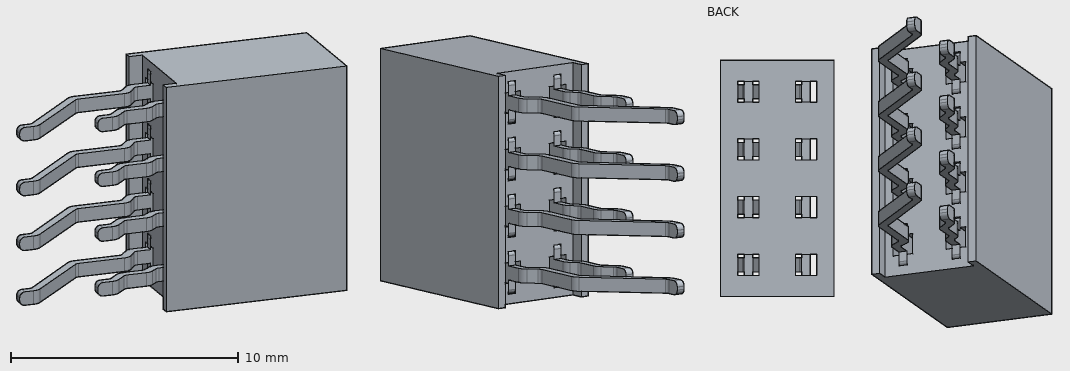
import cadquery as cq


overall_length = 15.4

width = 5.0
height = 10.41
body_depth = 7.88
wall_thickness = 0.38
wall_length = 0.62

pitch = 2.54
row_count = 4
row_heights = [(row - (row_count - 1) / 2) * pitch for row in range(row_count)]
long_column_x = (width - pitch) / 2
short_column_x = long_column_x + pitch

hole_size = 0.92
flag_height = 1.91
flag_depth = 0.92
flag_radius = 0.18

strip_thickness = 0.38
strip_height = 0.63
tip_radius = 0.25
inner_bend_radius = 0.23
outer_bend_radius = 0.5

tip_leg = (width - strip_thickness, width)
long_middle_leg = (1.68, 2.11)
short_middle_leg = (4.0, 4.39)

long_bends = [(0.95, 0.74), (1.48, 1.25), (3.9, 3.74), (6.82, 6.65)]
short_bends = [(0.83, 0.66), (1.3, 1.12), (2.5, 2.33), (3.1, 2.94)]
long_tip_reach = overall_length - body_depth
short_tip_reach = 3.83


def block(x_range, y_range, z_size, z_center=0):
    """Box over the given X and Y ranges, centred in Z on z_center."""
    (x_min, x_max), (y_min, y_max) = x_range, y_range
    return (
        cq.Workplane("XY", origin=(0, 0, z_center - z_size / 2))
        .moveTo(x_min, y_min)
        .lineTo(x_max, y_min)
        .lineTo(x_max, y_max)
        .lineTo(x_min, y_max)
        .close()
        .extrude(z_size)
    )


def root_leg(column_x):
    """Left and right faces of a strip centred on its column."""
    return (column_x - strip_thickness / 2, column_x + strip_thickness / 2)


def flag(column_x, z):
    """Square-edged envelope of a flag, starting flush with the housing face."""
    return block(root_leg(column_x), (0, flag_depth), flag_height, z)


def make_housing():
    """Block with two side walls, a through hole per pin and a slot for its flag."""
    housing = block((0, width), (-wall_length, body_depth), height)
    housing = housing.cut(block((wall_thickness, width - wall_thickness), (-wall_length, 0), height))
    for z in row_heights:
        for column_x in (long_column_x, short_column_x):
            hole_sides = (column_x - hole_size / 2, column_x + hole_size / 2)
            housing = housing.cut(block(hole_sides, (0, body_depth), hole_size, z))
            housing = housing.cut(flag(column_x, z))
    return housing


def make_pin(column_x, middle_leg, bends, tip_reach, z):
    """Strip with two sideways jogs, with a rounded tip and a taller flag at its root."""
    root = root_leg(column_x)
    corner_legs = [root, middle_leg, middle_leg, tip_leg]
    left_corners = [(leg[0], -bend[0]) for leg, bend in zip(corner_legs, bends)]
    right_corners = [(leg[1], -bend[1]) for leg, bend in zip(corner_legs, bends)]
    outline = [(root[0], 0), *left_corners, (tip_leg[0], -tip_reach)]
    outline += [(tip_leg[1], -tip_reach), *reversed(right_corners), (root[1], 0)]
    strip = (
        cq.Workplane("XY", origin=(0, 0, z - strip_height / 2))
        .polyline(outline)
        .close()
        .extrude(strip_height)
    )

    for index in range(len(bends)):
        outer, inner = left_corners[index], right_corners[index]
        if index % 2 == 1:
            outer, inner = inner, outer
        for (x, y), radius in ((outer, outer_bend_radius), (inner, inner_bend_radius)):
            edge = cq.selectors.NearestToPointSelector((x, y, z))
            strip = strip.edges("|Z").edges(edge).fillet(radius)

    strip = strip.faces("<Y").edges("|X").fillet(tip_radius)
    rounded_flag = flag(column_x, z).faces("<Y").edges("|X").fillet(flag_radius)
    return strip.union(rounded_flag)


housing = make_housing()
long_pins = [make_pin(long_column_x, long_middle_leg, long_bends, long_tip_reach, z) for z in row_heights]
short_pins = [make_pin(short_column_x, short_middle_leg, short_bends, short_tip_reach, z) for z in row_heights]

result = cq.Compound.makeCompound([housing.val(), *[pin.val() for pin in long_pins + short_pins]])